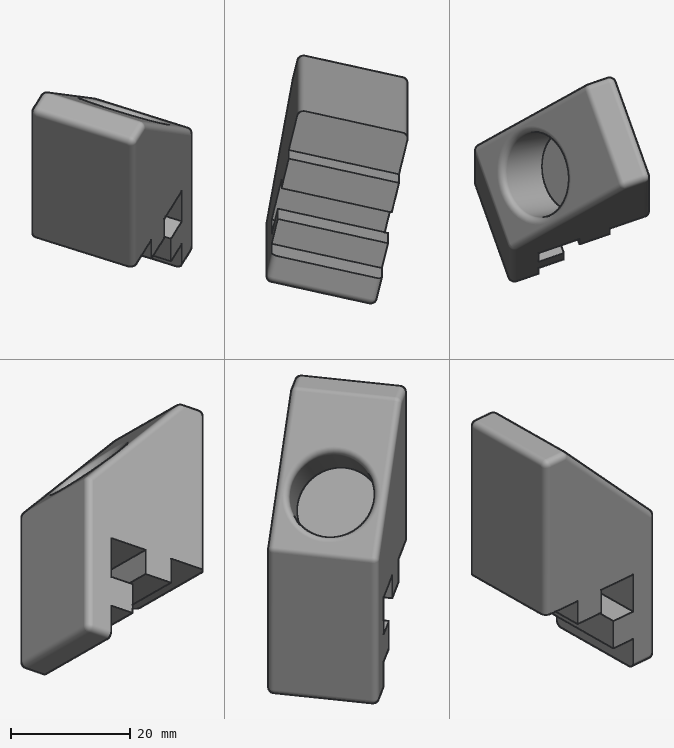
import cadquery as cq
import math

width = 19.0
depth = 25.0
height = 48.5
edge_radius = 1.1

wall = 5.0
slope_angle = 45.0
leg_length = 18.5

tongue_gap = 7.28
tongue_width = 5.4
tongue_reach = 4.5

hole_diameter = 14.35
hole_depth = 10.0
hole_from_back = 7.5
rim_radius = 1.1

slope_radians = math.radians(slope_angle)
slope_bottom_z = height - (depth - wall) * math.tan(slope_radians)
leg_inner_y = depth - wall
hole_y = depth - hole_from_back
hole_z = slope_bottom_z + hole_from_back * math.tan(slope_radians)


def centered_prism(side_outline):
    """Extrude a (Y, Z) outline over the full width, centred on X = 0."""
    return cq.Workplane("YZ").polyline(side_outline).close().extrude(width / 2, both=True)


def rounded_block():
    """Full-height block with a sloped rear top and every edge rounded."""
    outline = [
        (0, 0),
        (depth, 0),
        (depth, slope_bottom_z),
        (wall, height),
        (0, height),
    ]
    return centered_prism(outline).edges().fillet(edge_radius)


def notch():
    """Space below the body and in front of the leg, leaving the two tongues."""
    tongue_far = tongue_gap + tongue_width
    outline = [
        (0, 0),
        (leg_inner_y, 0),
        (leg_inner_y, leg_length - tongue_far),
        (leg_inner_y - tongue_reach, leg_length - tongue_far),
        (leg_inner_y - tongue_reach, leg_length - tongue_gap),
        (leg_inner_y, leg_length - tongue_gap),
        (leg_inner_y, leg_length),
        (leg_inner_y - tongue_gap, leg_length),
        (leg_inner_y - tongue_gap, leg_length - tongue_reach),
        (leg_inner_y - tongue_far, leg_length - tongue_reach),
        (leg_inner_y - tongue_far, leg_length),
        (0, leg_length),
    ]
    return centered_prism(outline)


def rounded_rim_hole():
    """Blind hole whose rim flares out to the sloped face along a quarter circle."""
    hole_radius = hole_diameter / 2
    mouth_radius = hole_radius + rim_radius
    arc_offset = rim_radius * math.sqrt(0.5)
    arc_middle = (mouth_radius - arc_offset, arc_offset - rim_radius)
    slope_plane = cq.Plane(
        origin=(0, hole_y, hole_z),
        xDir=(1, 0, 0),
        normal=(0, math.sin(slope_radians), math.cos(slope_radians)),
    )
    half_section = (
        cq.Workplane("XY")
        .moveTo(0, -hole_depth)
        .lineTo(hole_radius, -hole_depth)
        .lineTo(hole_radius, -rim_radius)
        .threePointArc(arc_middle, (mouth_radius, 0))
        .lineTo(0, 0)
        .close()
    )
    upright = half_section.revolve(360, (0, 0), (0, 1)).rotate((0, 0, 0), (1, 0, 0), 90)
    return cq.Workplane(upright.val().moved(cq.Location(slope_plane)))


result = rounded_block().cut(notch()).cut(rounded_rim_hole())